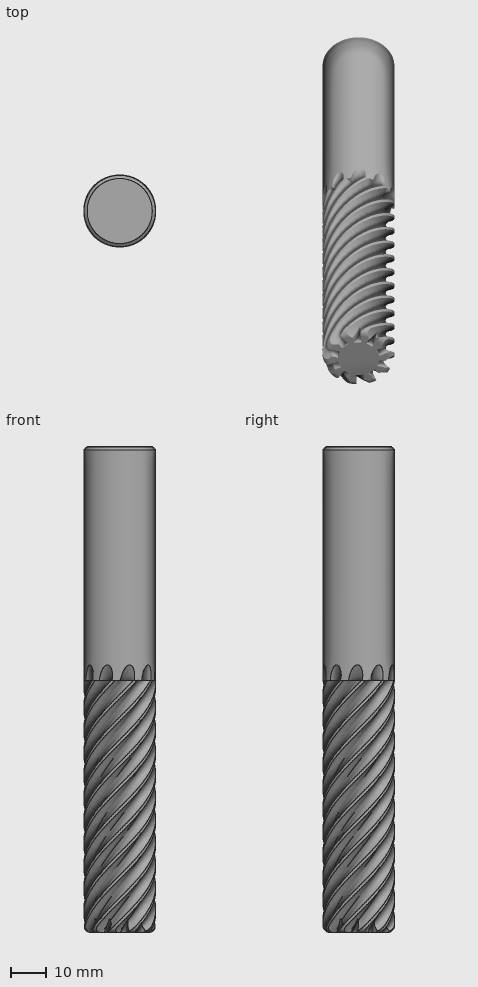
import cadquery as cq
import math

total_length = 135.0
diameter = 20.0
radius = diameter / 2
cutter_length = 70.0
shank_chamfer = 1.0
corner_radius = 2.0

tooth_count = 10
tooth_pitch = 360 / tooth_count
helix_angle = 45.0
helix_lead = math.pi * diameter / math.tan(math.radians(helix_angle))
helix_turn = 360 * cutter_length / helix_lead
top_phase = -67.5

land_angle = 6.5
back_foot_radius = 7.8
back_foot_angle = 17.0
gullet_radius = 7.5
gullet_angle = 22.5
rake_foot_radius = 8.1
rake_foot_angle = 28.5

runout_height = 3.8
runout_depth = 2.3
runout_lean = 0.8
runout_cutter_radius = 1.9
runout_offset_angle = -10.0

gash_height = 3.8
gash_width = 3.0
gash_lean = 1.2
gash_inner_radius = 5.7
gash_offset_angle = -9.0


def polar(distance, angle):
    """Point at a distance from the axis and an angle in degrees."""
    return (distance * math.cos(math.radians(angle)), distance * math.sin(math.radians(angle)))


def tooth_profile(first_edge_angle):
    """Closed transverse section through all the teeth."""
    profile = cq.Workplane("XY").moveTo(*polar(radius, first_edge_angle))
    for tooth in range(tooth_count):
        edge = first_edge_angle + tooth * tooth_pitch
        profile = (
            profile.threePointArc(polar(radius, edge + land_angle / 2), polar(radius, edge + land_angle))
            .lineTo(*polar(back_foot_radius, edge + back_foot_angle))
            .threePointArc(
                polar(gullet_radius, edge + gullet_angle), polar(rake_foot_radius, edge + rake_foot_angle)
            )
            .lineTo(*polar(radius, edge + tooth_pitch))
        )
    return profile.close()


def corner_rounding():
    """Ring that removes everything outside the rounded bottom corner."""
    corner_centre = radius - corner_radius
    outside = radius + corner_radius
    return (
        cq.Workplane("XZ")
        .moveTo(corner_centre, 0)
        .threePointArc(
            (corner_centre + corner_radius * math.sin(math.pi / 4), corner_radius * (1 - math.cos(math.pi / 4))),
            (radius, corner_radius),
        )
        .lineTo(outside, -corner_radius)
        .lineTo(corner_centre, -corner_radius)
        .close()
        .revolve(360, (0, 0, 0), (0, 1, 0))
    )


def end_gash(angle):
    """V-shaped radial notch, leaning with the flutes, cut into the bottom end."""
    notch = (
        cq.Workplane("YZ", origin=(gash_inner_radius, 0, 0))
        .polyline([(gash_lean, gash_height), (-gash_width, -gash_height), (gash_width / 2, -gash_height)])
        .close()
        .extrude(radius)
    )
    return notch.rotate((0, 0, 0), (0, 0, 1), angle)


def make_cutter():
    bottom_phase = top_phase - helix_turn
    cutter = tooth_profile(bottom_phase).twistExtrude(cutter_length, helix_turn)
    gashes = [
        end_gash(bottom_phase + tooth * tooth_pitch + gash_offset_angle).val() for tooth in range(tooth_count)
    ]
    return cutter.val().cut(corner_rounding().val(), *gashes)


def flute_runout(angle):
    """Round cutter that leaves the shank at a slope, rising to the surface and leaning with the helix."""
    direction = cq.Vector(runout_depth, runout_lean, runout_height)
    length = 4 * runout_height
    base = cq.Vector(radius - runout_depth + runout_cutter_radius, 0, cutter_length)
    start = base - direction.normalized() * (length / 2)
    cutter = cq.Solid.makeCylinder(runout_cutter_radius, length, start, direction)
    return cq.Workplane(cutter).rotate((0, 0, 0), (0, 0, 1), angle)


def make_shank():
    shank = (
        cq.Workplane("XY", origin=(0, 0, cutter_length))
        .circle(radius)
        .extrude(total_length - cutter_length)
        .faces(">Z")
        .edges()
        .chamfer(shank_chamfer)
    )
    for tooth in range(tooth_count):
        shank = shank.cut(flute_runout(top_phase + tooth * tooth_pitch + runout_offset_angle))
    return shank


cutter = make_cutter()
shank = make_shank()
result = cq.Compound.makeCompound([cutter, shank.val()])